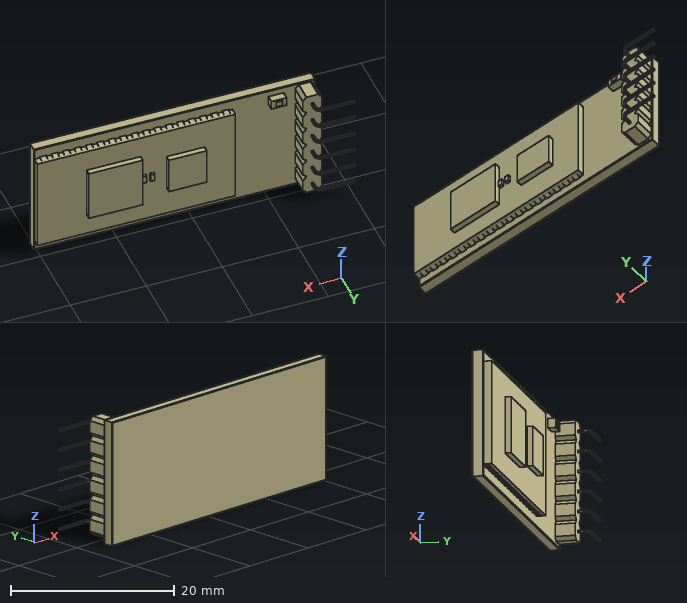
import cadquery as cq

board_length = 37.0
board_width = 16.0
board_thickness = 1.5
layer_thickness = 0.1
layer_inset = 0.08

pin_count = 6
pin_pitch = 2.54
pin_size = 0.25
pin_bend_radius = 0.72
pin_depth_in_header = 1.0
pin_overhang = 3.62
header_depth = 2.54
header_height = 2.56
header_corner_cut = 0.5
header_edge_gap = 0.12
header_z = 0.14

led_length = 2.0
led_width = 1.2
led_height = 1.0
led_lens_length = 0.8
led_lens_width = 0.8
led_lens_height = 0.15
led_start = 4.15
led_top_gap = 0.92

module_length = 26.05
module_width = 13.0
module_height = 1.0
module_end_gap = 0.06
pad_count = 17
pad_pitch = 1.5
pad_width = 0.82
pad_height = 0.55
pad_foot = 0.15
first_pad_offset = 0.92

module_chips = [
    (4.04, 5.0, 5.0, 0.75),
    (12.48, 7.1, 7.1, 0.75),
    (10.75, 0.55, 1.0, 0.35),
    (11.80, 0.55, 1.0, 0.35),
]

total_length = board_length + pin_overhang
total_depth = 5.67
pin_tip_x = -total_length / 2
board_left = pin_tip_x + pin_overhang
board_right = board_left + board_length
board_back = -total_depth / 2
board_face = board_back + board_thickness
board_top = board_width / 2
pin_top = total_depth / 2
module_left = board_right - module_end_gap - module_length
module_face = board_face + module_height
header_left = board_left + header_edge_gap


def block(x, y, z, length, depth, width):
    """Box starting at x and y and centred on z."""
    return cq.Workplane("XY").box(length, depth, width, centered=(False, False, True)).translate((x, y, z))


def make_board():
    core_depth = board_thickness - 2 * layer_thickness
    core = block(board_left, board_back + layer_thickness, 0, board_length, core_depth, board_width)
    layers = block(
        board_left + layer_inset,
        board_back,
        0,
        board_length - 2 * layer_inset,
        board_thickness,
        board_width - 2 * layer_inset,
    )
    return core.union(layers)


def pin_heights():
    first_z = header_z - pin_pitch * (pin_count - 1) / 2
    return [first_z + index * pin_pitch for index in range(pin_count)]


def make_header_cell(z):
    cell = block(header_left, board_face, z, header_depth, header_height, pin_pitch)
    return cell.edges("|Y").chamfer(header_corner_cut)


def make_pin(z):
    half = pin_size / 2
    stem_x = header_left + header_depth / 2
    arm_y = pin_top - half
    bend_x = stem_x - pin_bend_radius
    bend_y = arm_y - pin_bend_radius
    stem_bottom = board_face + header_height - pin_depth_in_header
    stem = block(stem_x - half, stem_bottom, z, pin_size, bend_y - stem_bottom, pin_size)
    arm = block(pin_tip_x, arm_y - half, z, bend_x - pin_tip_x, pin_size, pin_size)
    outer = pin_bend_radius + half
    inner = pin_bend_radius - half
    ring = (
        cq.Workplane("XY")
        .center(bend_x, bend_y)
        .circle(outer)
        .circle(inner)
        .extrude(pin_size)
        .translate((0, 0, z - half))
    )
    bend = ring.intersect(block(bend_x, bend_y, z, outer, outer, pin_size))
    return stem.union(bend).union(arm)


def make_led():
    z = board_top - led_top_gap - led_width / 2
    x = board_left + led_start
    body = block(x, board_face, z, led_length, led_height, led_width)
    lens_x = x + (led_length - led_lens_length) / 2
    lens = block(lens_x, board_face, z, led_lens_length, led_height + led_lens_height, led_lens_width)
    return body.union(lens)


def make_pad_row():
    """Solder wedges along the upper long edge of the module, sloping out towards the board."""
    edge_z = module_width / 2
    tip_z = edge_z - pad_foot
    profile = [
        (board_face, tip_z),
        (board_face, edge_z + pad_foot),
        (board_face + pad_height, edge_z),
        (board_face + pad_height, tip_z),
    ]
    first_x = module_left + first_pad_offset
    row = cq.Workplane("XY")
    for index in range(pad_count):
        start_x = first_x + index * pad_pitch - pad_width / 2
        pad = cq.Workplane("YZ").polyline(profile).close().extrude(pad_width)
        row = row.add(pad.translate((start_x, 0, 0)))
    return row.combine()


def make_module():
    module = block(module_left, board_face, 0, module_length, module_height, module_width)
    for offset, length, width, height in module_chips:
        module = module.union(block(module_left + offset, module_face, 0, length, height, width))
    upper_pads = make_pad_row()
    return module.union(upper_pads).union(upper_pads.mirror("XY"))


result = make_board().union(make_led()).union(make_module())
for pin_z in pin_heights():
    result = result.union(make_header_cell(pin_z)).union(make_pin(pin_z))